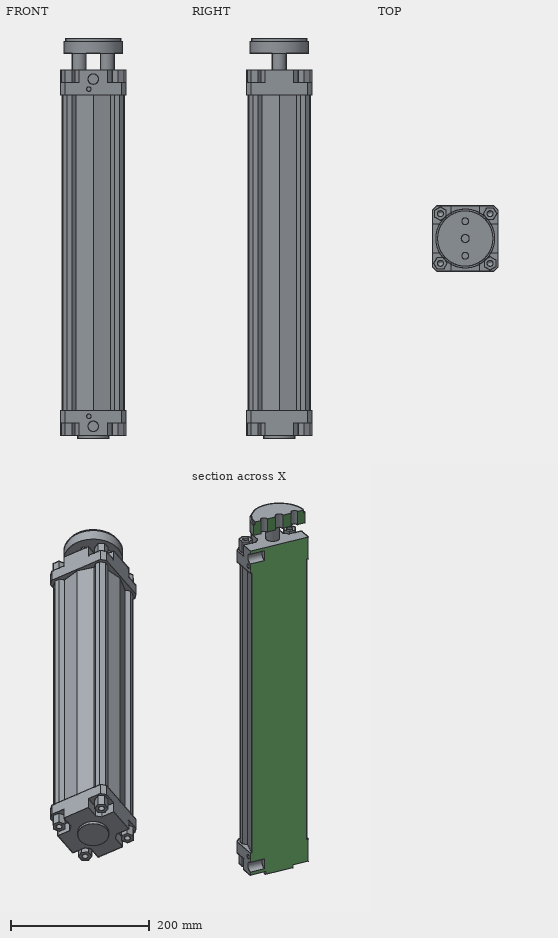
import cadquery as cq
import math

height = 578
cap_width = 95.0

cap_height = 36.5
cap_chamfer = 6.5
pocket_depth = 18.0
pocket_wall = 21.0
pocket_chamfer = 6.5
spigot_diameter = 45.0
spigot_height = 4.5
top_cap_end = 532.5

nut_offset = 36.0
nut_flats = 17.0
nut_hole_diameter = 8.5
nut_hole_depth = 11.5
drill_angle = 118

port_diameter = 15.0
port_setback = 13.5
port_depth = 23.0
screw_diameter = 6.5
screw_setback = 28.0
screw_offset = -6.5
screw_depth = 11.5

tube_half = 44.0
ridge_half = 45.0
tube_chamfer = 6.5
groove_outer = 30.5
groove_depth = 5.5

plate_diameter = 85.0
plate_thickness = 22.0
lip_diameter = 80.0
lip_height = 4.5
rod_diameter = 20.0
rod_offset = 20.0
center_hole_diameter = 11.5
side_hole_diameter = 10.0
side_hole_offset = 25.0


def drilled_hole(diameter, depth):
    """A blind hole with a drill point, opening at the origin and going down -Z."""
    radius = diameter / 2
    tip = radius / math.tan(math.radians(drill_angle / 2))
    half_section = [(0, 0), (radius, 0), (radius, -depth), (0, -depth - tip)]
    return cq.Workplane("XZ").polyline(half_section).close().revolve(360, (0, 0), (0, 1))


def corner_pocket():
    """Clearance for one nut in the +X +Y corner, with its inner corner chamfered."""
    size = cap_width / 2 - pocket_wall
    block = cq.Workplane().box(size, size, pocket_depth, centered=False)
    block = block.edges("|Z and <X and <Y").chamfer(pocket_chamfer)
    return block.translate((pocket_wall, pocket_wall, -pocket_depth))


def corner_nut():
    """Hexagonal nut in the +X +Y corner, two of its flats facing +Y and -Y."""
    nut = cq.Workplane().polygon(6, nut_flats / math.cos(math.pi / 6)).extrude(-pocket_depth)
    nut = nut.cut(drilled_hole(nut_hole_diameter, nut_hole_depth))
    return nut.translate((nut_offset, nut_offset, 0))


def face_hole(x, setback, diameter, depth):
    """A round hole into the -Y face of a cap, at a distance below its outer face."""
    plane = cq.Plane((x, -cap_width / 2, -setback), xDir=(1, 0, 0), normal=(0, -1, 0))
    return cq.Workplane(plane).circle(diameter / 2).extrude(-depth)


def end_cap():
    """Cap with its outer face at Z = 0, facing +Z."""
    cap = cq.Workplane().rect(cap_width, cap_width).extrude(-cap_height)
    cap = cap.edges("|Z").chamfer(cap_chamfer)
    for quarter in range(4):
        angle = 90 * quarter
        cap = cap.cut(corner_pocket().rotate((0, 0, 0), (0, 0, 1), angle))
        cap = cap.union(corner_nut().rotate((0, 0, 0), (0, 0, 1), angle))
    cap = cap.cut(face_hole(0, port_setback, port_diameter, port_depth))
    return cap.cut(face_hole(screw_offset, screw_setback, screw_diameter, screw_depth))


def profile_tube(bottom, top):
    """Tube whose four faces each rise to a ridge between two 45 degree grooves."""
    groove_inner = groove_outer - groove_depth
    corner = tube_half - tube_chamfer
    face = [
        (-corner, -tube_half),
        (-groove_outer, -tube_half),
        (-groove_inner, groove_depth - tube_half),
        (0, -ridge_half),
        (groove_inner, groove_depth - tube_half),
        (groove_outer, -tube_half),
        (corner, -tube_half),
    ]
    outline = list(face)
    for _ in range(3):
        face = [(-y, x) for x, y in face]
        outline += face
    return cq.Workplane().workplane(offset=bottom).polyline(outline).close().extrude(top - bottom)


def make_housing():
    """Both end caps, the tube between them and the spigot under the bottom cap."""
    bottom_cap = end_cap().mirror("XY").translate((0, 0, spigot_height))
    top_cap = end_cap().translate((0, 0, top_cap_end))
    tube = profile_tube(spigot_height + cap_height, top_cap_end - cap_height)
    spigot = cq.Workplane().circle(spigot_diameter / 2).extrude(spigot_height)
    return tube.union(bottom_cap).union(top_cap).union(spigot)


def make_plate():
    """Round plate on two rods that stand on the top cap."""
    plate_bottom = height - plate_thickness
    plate = (
        cq.Workplane()
        .workplane(offset=plate_bottom)
        .circle(plate_diameter / 2)
        .extrude(plate_thickness - lip_height)
        .faces(">Z")
        .workplane()
        .circle(lip_diameter / 2)
        .extrude(lip_height)
    )
    plate = plate.faces(">Z").workplane().hole(center_hole_diameter)
    side_holes = [(0, side_hole_offset), (0, -side_hole_offset)]
    plate = plate.faces(">Z").workplane().pushPoints(side_holes).hole(side_hole_diameter)
    rods = (
        cq.Workplane()
        .workplane(offset=top_cap_end)
        .pushPoints([(-rod_offset, 0), (rod_offset, 0)])
        .circle(rod_diameter / 2)
        .extrude(plate_bottom - top_cap_end)
    )
    return plate.union(rods)


housing = make_housing()
plate = make_plate()
result = cq.Compound.makeCompound([housing.val(), plate.val()])